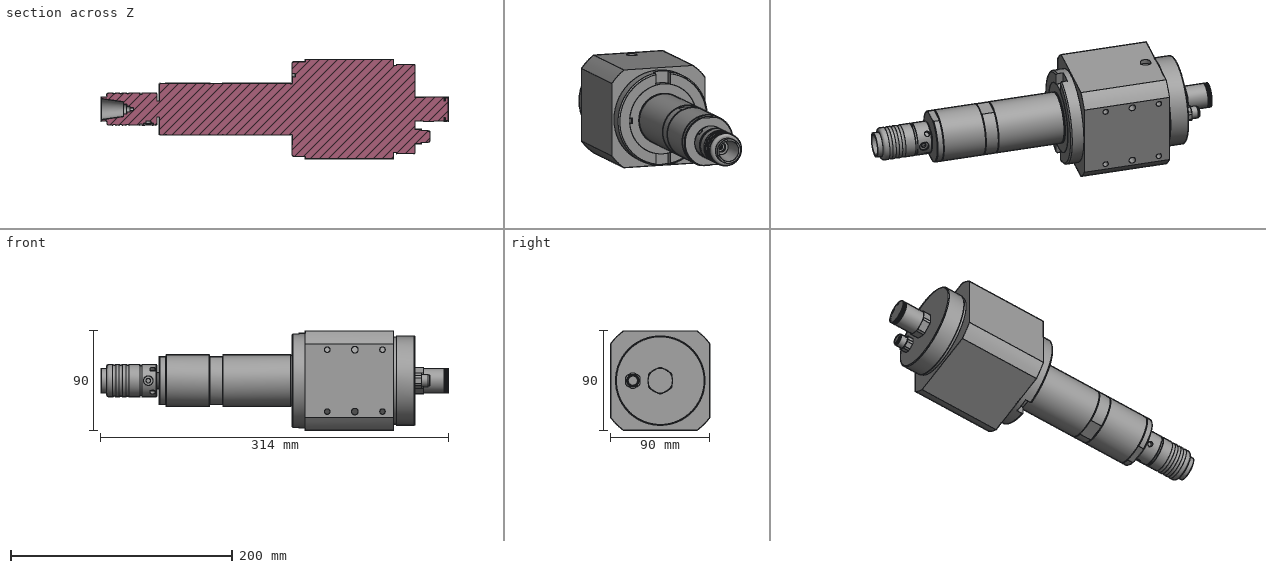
import cadquery as cq
import math


SLEEVE_START = 4.8
COLLAR_GROOVE = 34.9
SLEEVE_END = 50.5
SHAFT_START = 52.4
FLAT_1_END = 58.5
FLAT_2_START = 98.0
FLAT_2_END = 110.0
FLANGE_START = 172.4
BLOCK_START = 184.5
BLOCK_LENGTH = 80.0
BLOCK_END = BLOCK_START + BLOCK_LENGTH
CAP_START = BLOCK_END + 2.5
CAP_END = 284.0
TOTAL_LENGTH = 314.0

CUT_CLEARANCE = 1.0

TUBE_RADIUS = 11.2
TUBE_BORE_RADIUS = 9.5
BORE_TAPER_DEPTH = 20.0
BORE_FLOOR_RADIUS = 6.6
SOCKET_DIAMETER = 8.57
SOCKET_DEPTH = 3.0
DRAWBAR_DIAMETER = 5.0
DRAWBAR_DEPTH = 6.0
PILOT_DIAMETER = 2.5
PILOT_DEPTH = 9.0
SLEEVE_RADIUS = 14.8
SLEEVE_FILLET = 2.5
SLEEVE_CHAMFER = 1.0
GRIP_PITCH = 6.0
GRIP_WIDTH = 3.0
GRIP_DEPTH = 0.7
GRIP_COUNT = 3
COLLAR_GROOVE_WIDTH = 1.9
COLLAR_GROOVE_DEPTH = 1.2
NECK_RADIUS = 7.4
SIDE_PORT_X = 42.6
SIDE_PORT_DIAMETER = 8.57
SIDE_PORT_DEPTH = 2.0
SIDE_PORT_CORE_DIAMETER = 4.13
SIDE_PORT_CORE_DEPTH = 4.0
PIN_HOLE_X = 46.5
PIN_HOLE_DIAMETER = 4.92
PIN_HOLE_DEPTH = 4.0

SHAFT_RADIUS = 23.5
SHAFT_CHAMFER = 0.7
FLAT_HALF_WIDTH = 21.7
JOINT_WIDTH = 0.8
JOINT_DEPTH = 0.35
RELIEF_WIDTH = 1.0
RELIEF_DEPTH = 0.4

FLANGE_RADIUS = 43.0
FLANGE_CHAMFER = 1.3
HUB_RADIUS = 32.2
HUB_RECESS = 0.3
NOTCH_WIDTH = 14.2
NOTCH_DEPTH = 6.6
KEY_RADIAL = 3.0
KEY_WIDTH = 5.0
KEY_DEPTH = 3.0

BLOCK_WIDTH = 90.0
BLOCK_CORNER_RADIUS = 56.0
MOTOR_RADIUS = 40.0
MOUNT_PITCH = 25.0
MOUNT_FIRST = 20.0
MOUNT_HALF_SPACING = 28.0
MOUNT_DIAMETER = 5.0
DOWEL_DIAMETER = 6.0
PORT_OFFSET = 70.0
PORT_DIAMETER = 9.5
PORT_DEPTH = 4.0

CAP_NECK_RADIUS = 39.6
CAP_RADIUS = 40.5
CAP_CHAMFER = 0.8
PLUG_RADIUS = 11.2
PLUG_HEX_FLATS = 21.7
PLUG_HEX_CORNERS = 23.8
PLUG_HEX_LENGTH = 7.6
PLUG_GROOVE_START = 310.2
PLUG_GROOVE_WIDTH = 1.0
PLUG_GROOVE_RADIUS = 7.6
PLUG_RIM = 1.0
PLUG_RIM_GROOVE_RADIUS = 10.3
SENSOR_Y = -24.8
SENSOR_HEX_FLATS = 13.3
SENSOR_HEX_CORNERS = 14.2
SENSOR_HEX_LENGTH = 5.6
SENSOR_RADIUS = 5.6
SENSOR_BODY_END = 295.7
SENSOR_TIP_RADIUS = 5.0
SENSOR_END = 297.6
SENSOR_CHAMFER = 0.8


def rod(start, end, radius, y=0.0):
    """Cylinder along X between two stations."""
    return cq.Workplane("YZ", origin=(start, y, 0)).circle(radius).extrude(end - start)


def ring_cut(start, end, outer, inner):
    """Tool for a square annular groove."""
    return rod(start, end, outer + CUT_CLEARANCE).cut(rod(start, end, inner))


def side_drill(x, angle, bottom_radius, length, diameter):
    """Radial drill at an angle from +Y toward +Z, starting at a given distance from the axis."""
    direction = cq.Vector(0, math.cos(math.radians(angle)), math.sin(math.radians(angle)))
    start = cq.Vector(x, 0, 0) + direction * bottom_radius
    return cq.Workplane(cq.Solid.makeCylinder(diameter / 2, length, start, direction))


def make_nose():
    profile = (
        cq.Workplane("XY")
        .moveTo(0, 0)
        .lineTo(0, TUBE_RADIUS)
        .lineTo(SLEEVE_START, TUBE_RADIUS)
        .lineTo(SLEEVE_START, SLEEVE_RADIUS - SLEEVE_FILLET)
        .radiusArc((SLEEVE_START + SLEEVE_FILLET, SLEEVE_RADIUS), SLEEVE_FILLET)
    )
    for index in range(GRIP_COUNT):
        start = SLEEVE_START + SLEEVE_FILLET + GRIP_WIDTH + index * GRIP_PITCH
        profile = profile.lineTo(start, SLEEVE_RADIUS).threePointArc(
            (start + GRIP_WIDTH / 2, SLEEVE_RADIUS - GRIP_DEPTH),
            (start + GRIP_WIDTH, SLEEVE_RADIUS),
        )
    profile = (
        profile.lineTo(SLEEVE_END - SLEEVE_CHAMFER, SLEEVE_RADIUS)
        .lineTo(SLEEVE_END, SLEEVE_RADIUS - SLEEVE_CHAMFER)
        .lineTo(SLEEVE_END, NECK_RADIUS)
        .lineTo(SHAFT_START, NECK_RADIUS)
        .lineTo(SHAFT_START, 0)
        .close()
    )
    nose = profile.revolve(360, (0, 0, 0), (1, 0, 0))
    groove_end = COLLAR_GROOVE + COLLAR_GROOVE_WIDTH
    groove = ring_cut(COLLAR_GROOVE, groove_end, SLEEVE_RADIUS, SLEEVE_RADIUS - COLLAR_GROOVE_DEPTH)
    return nose.cut(groove).cut(make_tool_bore()).cut(make_nose_holes())


def make_tool_bore():
    """Tapered tool seat with a stepped drawbar socket in its floor."""
    taper = cq.Workplane(
        cq.Solid.makeCone(
            TUBE_BORE_RADIUS, BORE_FLOOR_RADIUS, BORE_TAPER_DEPTH, cq.Vector(), cq.Vector(1, 0, 0)
        )
    )
    socket = rod(0, BORE_TAPER_DEPTH + SOCKET_DEPTH, SOCKET_DIAMETER / 2)
    drawbar = rod(0, BORE_TAPER_DEPTH + DRAWBAR_DEPTH, DRAWBAR_DIAMETER / 2)
    pilot = rod(0, BORE_TAPER_DEPTH + PILOT_DEPTH, PILOT_DIAMETER / 2)
    return taper.union(socket).union(drawbar).union(pilot)


def make_nose_holes():
    """Stepped port on the -Y side and four pin holes on the diagonals."""
    port_steps = (
        (SIDE_PORT_DIAMETER, SIDE_PORT_DEPTH),
        (SIDE_PORT_CORE_DIAMETER, SIDE_PORT_CORE_DEPTH),
    )
    holes = cq.Workplane()
    for diameter, depth in port_steps:
        holes = holes.add(side_drill(SIDE_PORT_X, 180, SLEEVE_RADIUS - depth, SLEEVE_RADIUS, diameter))
    for angle in (45, 135, 225, 315):
        bottom = SLEEVE_RADIUS - PIN_HOLE_DEPTH
        holes = holes.add(side_drill(PIN_HOLE_X, angle, bottom, SLEEVE_RADIUS, PIN_HOLE_DIAMETER))
    return holes.combine()


def make_shaft():
    shaft = rod(SHAFT_START, FLANGE_START, SHAFT_RADIUS).faces("<X").chamfer(SHAFT_CHAMFER)
    for joint in (FLAT_1_END, FLAT_2_START, FLAT_2_END):
        groove = (
            cq.Workplane("XY")
            .moveTo(joint - JOINT_WIDTH / 2, SHAFT_RADIUS)
            .lineTo(joint, SHAFT_RADIUS - JOINT_DEPTH)
            .lineTo(joint + JOINT_WIDTH / 2, SHAFT_RADIUS)
            .close()
            .revolve(360, (0, 0, 0), (1, 0, 0))
        )
        shaft = shaft.cut(groove)
    for start, end in ((SHAFT_START, FLAT_1_END), (FLAT_2_START, FLAT_2_END)):
        for side in (-1, 1):
            height = SHAFT_RADIUS - FLAT_HALF_WIDTH
            center = ((start + end) / 2, 0, side * (FLAT_HALF_WIDTH + height / 2))
            shaft = shaft.cut(cq.Workplane().box(end - start, 2 * SHAFT_RADIUS, height).translate(center))
    relief_start = FLANGE_START - RELIEF_WIDTH
    return shaft.cut(ring_cut(relief_start, FLANGE_START, SHAFT_RADIUS, SHAFT_RADIUS - RELIEF_DEPTH))


def make_flange():
    flange = rod(FLANGE_START, BLOCK_START, FLANGE_RADIUS).faces("<X").chamfer(FLANGE_CHAMFER)
    recess_end = FLANGE_START + HUB_RECESS
    recess = rod(FLANGE_START, recess_end, HUB_RADIUS).cut(rod(FLANGE_START, recess_end, SHAFT_RADIUS))
    flange = flange.cut(recess)
    notch_end = FLANGE_START + NOTCH_DEPTH
    notches = (
        cq.Workplane("YZ", origin=(FLANGE_START, 0, 0))
        .rect(NOTCH_WIDTH, 2 * FLANGE_RADIUS)
        .extrude(NOTCH_DEPTH)
        .cut(rod(FLANGE_START, notch_end, HUB_RADIUS))
    )
    key_slot = (
        cq.Workplane("YZ", origin=(FLANGE_START, HUB_RADIUS - KEY_RADIAL / 2, 0))
        .rect(KEY_RADIAL, KEY_WIDTH)
        .extrude(KEY_DEPTH)
    )
    return flange.cut(notches).cut(key_slot)


def make_block():
    """Square housing with rounded-off edges, mounting holes on the -Y side and a port on top."""
    center_x = BLOCK_START + BLOCK_LENGTH / 2
    block = (
        cq.Workplane()
        .box(BLOCK_LENGTH, BLOCK_WIDTH, BLOCK_WIDTH)
        .translate((center_x, 0, 0))
        .intersect(rod(BLOCK_START, BLOCK_END, BLOCK_CORNER_RADIUS))
    )
    first_x = BLOCK_START + MOUNT_FIRST
    drills = cq.Workplane()
    for index, diameter in enumerate((MOUNT_DIAMETER, DOWEL_DIAMETER, MOUNT_DIAMETER)):
        for z in (-MOUNT_HALF_SPACING, MOUNT_HALF_SPACING):
            drill = cq.Solid.makeCylinder(
                diameter / 2,
                BLOCK_WIDTH / 2,
                cq.Vector(first_x + index * MOUNT_PITCH, -BLOCK_WIDTH / 2, z),
                cq.Vector(0, 1, 0),
            )
            drills = drills.add(drill)
    drills = drills.combine().cut(rod(BLOCK_START, BLOCK_END, MOTOR_RADIUS))
    port_floor = BLOCK_WIDTH / 2 - PORT_DEPTH
    port = side_drill(BLOCK_START + PORT_OFFSET, 90, port_floor, PORT_DEPTH, PORT_DIAMETER)
    return block.cut(drills).cut(port)


def make_hex(flats, corners, length, y):
    """Hexagonal nut with flats facing +Y and -Y and its corners turned to a round."""
    return (
        cq.Workplane("YZ", origin=(CAP_END, y, 0))
        .polygon(6, flats, circumscribed=True)
        .extrude(length)
        .intersect(rod(CAP_END, CAP_END + length, corners / 2, y))
    )


def make_rear():
    """Rear cap carrying the main plug and the smaller sensor plug."""
    cap = rod(CAP_START, CAP_END, CAP_RADIUS).faces(">X").chamfer(CAP_CHAMFER)
    cap = cap.union(rod(BLOCK_END, CAP_START, CAP_NECK_RADIUS))
    groove_end = PLUG_GROOVE_START + PLUG_GROOVE_WIDTH
    rim_start = TOTAL_LENGTH - PLUG_RIM
    plug = (
        rod(CAP_END + PLUG_HEX_LENGTH, TOTAL_LENGTH, PLUG_RADIUS)
        .cut(ring_cut(PLUG_GROOVE_START, groove_end, PLUG_RADIUS, PLUG_GROOVE_RADIUS))
        .cut(ring_cut(rim_start - PLUG_RIM, rim_start, PLUG_RADIUS, PLUG_RIM_GROOVE_RADIUS))
        .union(make_hex(PLUG_HEX_FLATS, PLUG_HEX_CORNERS, PLUG_HEX_LENGTH, 0))
    )
    sensor_tip = rod(SENSOR_BODY_END, SENSOR_END, SENSOR_TIP_RADIUS, SENSOR_Y)
    sensor = (
        make_hex(SENSOR_HEX_FLATS, SENSOR_HEX_CORNERS, SENSOR_HEX_LENGTH, SENSOR_Y)
        .union(rod(CAP_END + SENSOR_HEX_LENGTH, SENSOR_BODY_END, SENSOR_RADIUS, SENSOR_Y))
        .union(sensor_tip.faces(">X").chamfer(SENSOR_CHAMFER))
    )
    return cap.union(plug).union(sensor)


result = make_nose().union(make_shaft()).union(make_flange()).union(make_block()).union(make_rear())